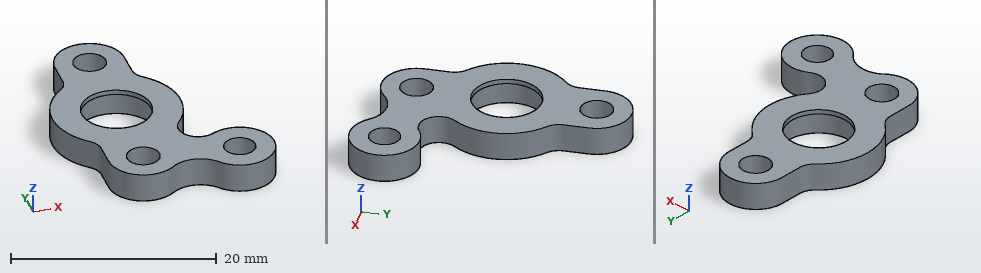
import cadquery as cq
import math

thickness = 3.0
ring_radius = 6.5
bore_radius = 3.5
recess_radius = 4.0
lip_thickness = 0.5
lobe_radius = 3.5
lobe_offset = 9.0
side_lobe_center = (9.49, -9.98)
lobe_hole_radius = 1.65
side_hole_radius = 1.55
neck_fillet = 2.0
lower_fillet = 3.2

ring_center = (0, 0)
upper_lobe_center = (0, lobe_offset)
lower_lobe_center = (0, -lobe_offset)


def toward(start, target, distance):
    """Point at the given distance from start in the direction of target."""
    length = math.dist(start, target)
    return tuple(s + (t - s) * distance / length for s, t in zip(start, target))


def fillet_center(center_a, radius_a, center_b, radius_b, fillet):
    """Centre of the fillet touching two circles, on the right going from a to b."""
    reach_a = radius_a + fillet
    reach_b = radius_b + fillet
    span = math.dist(center_a, center_b)
    along = (reach_a**2 - reach_b**2 + span**2) / (2 * span)
    across = math.sqrt(reach_a**2 - along**2)
    ux = (center_b[0] - center_a[0]) / span
    uy = (center_b[1] - center_a[1]) / span
    return (
        center_a[0] + along * ux + across * uy,
        center_a[1] + along * uy - across * ux,
    )


neck_x = lobe_radius + neck_fillet
neck_y = math.sqrt((ring_radius + neck_fillet)**2 - neck_x**2)
neck_touch_x, neck_touch_y = toward(ring_center, (neck_x, neck_y), ring_radius)
neck_mid_x, neck_mid_y = toward(
    (neck_x, neck_y), (lobe_radius, (neck_y + neck_touch_y) / 2), neck_fillet
)

crook = fillet_center(side_lobe_center, lobe_radius, ring_center, ring_radius, neck_fillet)
crook_ring_touch = toward(ring_center, crook, ring_radius)
crook_lobe_touch = toward(side_lobe_center, crook, lobe_radius)
crook_mid = toward(crook, lower_lobe_center, neck_fillet)

saddle = fillet_center(
    lower_lobe_center, lobe_radius, side_lobe_center, lobe_radius, lower_fillet
)
saddle_side_touch = toward(side_lobe_center, saddle, lobe_radius)
saddle_lower_touch = toward(lower_lobe_center, saddle, lobe_radius)
arm_middle = tuple((a + b) / 2 for a, b in zip(lower_lobe_center, side_lobe_center))
saddle_mid = toward(saddle, arm_middle, lower_fillet)

outline = (
    cq.Workplane("XY")
    .moveTo(-lobe_radius, lobe_offset)
    .threePointArc((0, lobe_offset + lobe_radius), (lobe_radius, lobe_offset))
    .lineTo(lobe_radius, neck_y)
    .threePointArc((neck_mid_x, neck_mid_y), (neck_touch_x, neck_touch_y))
    .threePointArc((ring_radius, 0), crook_ring_touch)
    .threePointArc(crook_mid, crook_lobe_touch)
    .threePointArc((side_lobe_center[0] + lobe_radius, side_lobe_center[1]), saddle_side_touch)
    .threePointArc(saddle_mid, saddle_lower_touch)
    .threePointArc((0, -lobe_offset - lobe_radius), (-lobe_radius, -lobe_offset))
    .lineTo(-lobe_radius, -neck_y)
    .threePointArc((-neck_mid_x, -neck_mid_y), (-neck_touch_x, -neck_touch_y))
    .threePointArc((-ring_radius, 0), (-neck_touch_x, neck_touch_y))
    .threePointArc((-neck_mid_x, neck_mid_y), (-lobe_radius, neck_y))
    .close()
)
plate = outline.extrude(thickness)

holes = [
    (ring_center, bore_radius),
    (upper_lobe_center, lobe_hole_radius),
    (lower_lobe_center, lobe_hole_radius),
    (side_lobe_center, side_hole_radius),
]
for center, radius in holes:
    cutter = cq.Workplane("XY").center(*center).circle(radius).extrude(thickness)
    plate = plate.cut(cutter)

recess = cq.Workplane("XY").circle(recess_radius).extrude(thickness - lip_thickness)

result = plate.cut(recess)